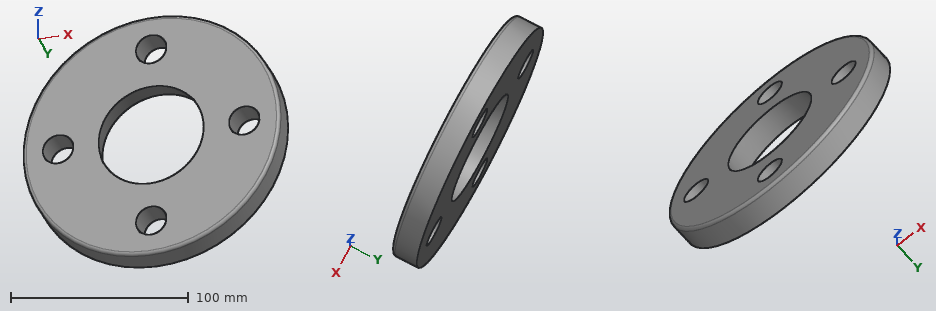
import cadquery as cq
import math

outer_diameter = 152.0
thickness = 16.0
edge_radius = 2.0

bore_front_diameter = 62.0
bore_taper_angle = 10.0
bore_back_diameter = bore_front_diameter + 2 * thickness * math.tan(math.radians(bore_taper_angle))

bolt_hole_diameter = 18.0
bolt_circle_diameter = 110.0
bolt_hole_count = 4


def front_plane():
    """Sketch plane on the front face, with its normal pointing to the back (+Y)."""
    return cq.Workplane(cq.Plane(origin=(0, -thickness / 2, 0), xDir=(1, 0, 0), normal=(0, 1, 0)))


def make_disc():
    """Plain disc with the front rim rounded."""
    disc = front_plane().circle(outer_diameter / 2).extrude(thickness)
    return disc.faces("<Y").edges().fillet(edge_radius)


def make_bore():
    """Cone frustum that fills the central bore."""
    return (
        front_plane()
        .circle(bore_front_diameter / 2)
        .workplane(offset=thickness)
        .circle(bore_back_diameter / 2)
        .loft(ruled=True)
    )


def make_bolt_holes():
    """Cylinders that fill the through holes, the first one on the +X axis."""
    return (
        front_plane()
        .polarArray(bolt_circle_diameter / 2, 0, 360, bolt_hole_count)
        .circle(bolt_hole_diameter / 2)
        .extrude(thickness)
    )


result = make_disc().cut(make_bore()).cut(make_bolt_holes())